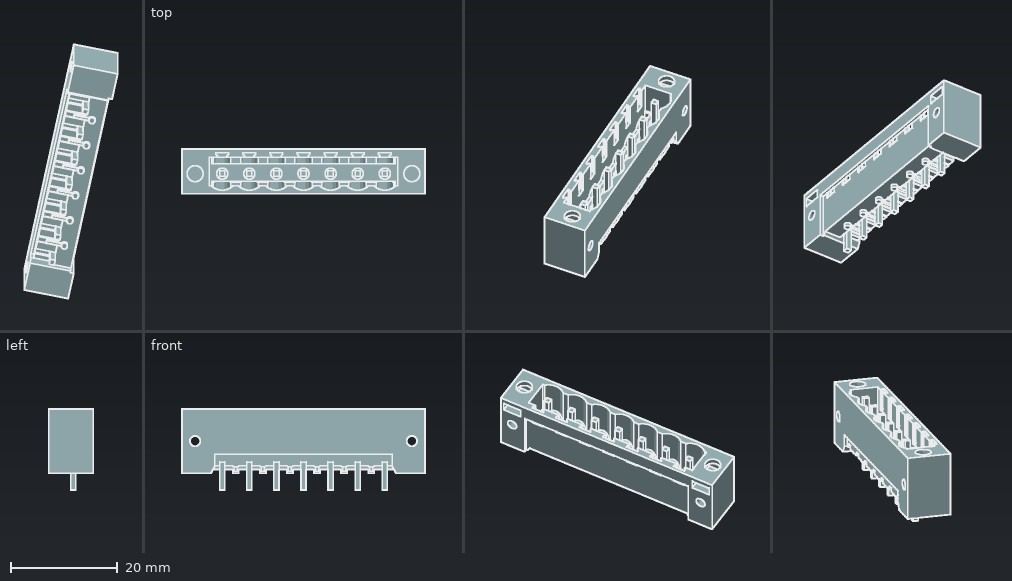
import cadquery as cq

LENGTH = 45.55
DEPTH = 8.45
HEIGHT = 12.07
BACK = DEPTH / 2
FRONT = -BACK

FLANGE_X = 20.3
PIN_COUNT = 7
PITCH = FLANGE_X / 4
PIN_Y = -0.4
PIN_SIZE = 1.0
PIN_TOP = 11.1
PIN_BOTTOM = -3.15
PIN_FRONT = PIN_Y - PIN_SIZE / 2
PIN_BACK = PIN_Y + PIN_SIZE / 2
PIN_XS = [(i - (PIN_COUNT - 1) / 2) * PITCH for i in range(PIN_COUNT)]
GAP_XS = [x + PITCH / 2 for x in PIN_XS[:-1]]

CAVITY_HALF_LENGTH = 17.65
CAVITY_BACK = 2.7
CAVITY_FRONT = -2.7
CAVITY_FLOOR = 5.45
SCALLOP_HALF_WIDTH = 2.0
SCALLOP_DEPTH = 0.8
COLLAR_DIAMETER = 2.1
COLLAR_DEPTH = 0.45

STRIP_FRONT = -1.85
STRIP_BACK = 1.45
CHANNEL_FLOOR = 4.1
CHANNEL_HALF_LENGTH = PIN_XS[-1] + SCALLOP_HALF_WIDTH

RIDGE_HALF_BASE = 1.65
RIDGE_HALF_SHOULDER = 1.3
RIDGE_SHOULDER = 0.55
RIDGE_HEIGHT = 1.25

SHELF_DEPTH = 0.15
SHELF_HEIGHT = 0.25

GROOVE_HALF_NECK = 0.85
GROOVE_HALF_WIDTH = 1.2
GROOVE_NECK_DEPTH = 0.25
GROOVE_DEPTH = 0.8
GROOVE_FLOOR = 8.05
GROOVE_BACK = CAVITY_BACK + GROOVE_DEPTH

REAR_RECESS_TOP = 9.1

SCREW_DIAMETER = 3.0
SCREW_COLLAR = 1.2
POCKET_HALF_WIDTH = 1.8
POCKET_FLOOR = 9.15
CROSS_DIAMETER = 1.9

LEG_X = 16.65
LEG_CHAMFER_X = 0.7
LEG_CHAMFER_Z = 1.3
FRONT_STEP_DEPTH = 0.55
FRONT_STEP_TOP = 3.6
FRONT_UNDERSIDE = 1.35
BACK_UNDERSIDE = 0.7
PIN_SLOT_TOP = 2.1
STEP_FACE = FRONT + FRONT_STEP_DEPTH

FOOT_DIAMETER = 1.2
FOOT_Y = 1.35
RIB_WIDTH = 0.55
RIB_FRONT = -2.05
RIB_BOTTOM = 0.35
LIP_HALF_WIDTH = 0.6
LIP_HALF_BOTTOM = 0.45
LIP_DROP = 0.15


def block(x0, x1, y0, y1, z0, z1):
    """Axis-aligned box between two opposite corners."""
    return cq.Workplane("XY").box(x1 - x0, y1 - y0, z1 - z0, centered=False).translate((x0, y0, z0))


def along_y(outline, y0, y1):
    """Sweep an XZ outline from y0 to y1."""
    return outline.extrude(y0 - y1).translate((0, y0, 0))


def xz():
    """Workplane for outlines given in X and Z."""
    return cq.Workplane("XZ")


def scalloped_area(half_length, floor):
    """Volume above the floor whose front side bulges outwards at every contact."""
    area = block(-half_length, half_length, CAVITY_FRONT, CAVITY_BACK, floor, HEIGHT)
    for x in PIN_XS:
        bulge = (
            cq.Workplane("XY", origin=(x, CAVITY_FRONT, floor))
            .moveTo(-SCALLOP_HALF_WIDTH, 0)
            .threePointArc((0, -SCALLOP_DEPTH), (SCALLOP_HALF_WIDTH, 0))
            .close()
            .extrude(HEIGHT - floor)
        )
        area = area.union(bulge)
    return area


def ridge(x):
    """Convex ridge on the channel floor, running front to back."""
    outline = (
        xz()
        .moveTo(x - RIDGE_HALF_BASE, CHANNEL_FLOOR)
        .lineTo(x - RIDGE_HALF_SHOULDER, CHANNEL_FLOOR + RIDGE_SHOULDER)
        .threePointArc(
            (x, CHANNEL_FLOOR + RIDGE_HEIGHT),
            (x + RIDGE_HALF_SHOULDER, CHANNEL_FLOOR + RIDGE_SHOULDER),
        )
        .lineTo(x + RIDGE_HALF_BASE, CHANNEL_FLOOR)
        .close()
    )
    return along_y(outline, FRONT, BACK)


def cut_cavity(body):
    """Open the cavity, its two channels and the ring recess round each contact."""
    body = body.cut(scalloped_area(CAVITY_HALF_LENGTH, CAVITY_FLOOR))
    strip = block(-LENGTH, LENGTH, STRIP_FRONT, STRIP_BACK, 0, HEIGHT)
    shelf = block(
        -LENGTH, LENGTH, STRIP_FRONT - SHELF_DEPTH, STRIP_FRONT, CHANNEL_FLOOR, CHANNEL_FLOOR + SHELF_HEIGHT
    )
    channels = scalloped_area(CHANNEL_HALF_LENGTH, CHANNEL_FLOOR).cut(strip).cut(shelf)
    for x in PIN_XS:
        channels = channels.cut(ridge(x))
    body = body.cut(channels)
    collars = (
        cq.Workplane("XY", origin=(0, 0, CAVITY_FLOOR - COLLAR_DEPTH))
        .pushPoints([(x, PIN_Y) for x in PIN_XS])
        .circle(COLLAR_DIAMETER / 2)
        .extrude(COLLAR_DEPTH)
    )
    return body.cut(collars)


def cut_coding_grooves(body):
    """Dovetail groove in the back wall behind each contact."""
    neck_end = CAVITY_BACK + GROOVE_NECK_DEPTH
    flare_end = neck_end + GROOVE_HALF_WIDTH - GROOVE_HALF_NECK
    right = [
        (GROOVE_HALF_NECK, CAVITY_BACK),
        (GROOVE_HALF_NECK, neck_end),
        (GROOVE_HALF_WIDTH, flare_end),
        (GROOVE_HALF_WIDTH, GROOVE_BACK),
    ]
    left = [(-x, y) for x, y in reversed(right)]
    groove = cq.Workplane("XY", origin=(0, 0, GROOVE_FLOOR)).polyline(right + left).close()
    groove = groove.extrude(HEIGHT - GROOVE_FLOOR)
    for x in PIN_XS:
        body = body.cut(groove.translate((x, 0, 0)))
    return body


def cut_rear_recess(body):
    """Long recess in the lower back face."""
    return body.cut(block(-CAVITY_HALF_LENGTH, CAVITY_HALF_LENGTH, GROOVE_BACK, BACK, 0, REAR_RECESS_TOP))


def cut_flange_fixings(body):
    """Screw hole, nut pocket open to the back, and cross hole in each flange."""
    for x in (-FLANGE_X, FLANGE_X):
        screw_hole = (
            cq.Workplane("XY", origin=(x, PIN_Y, POCKET_FLOOR))
            .circle(SCREW_DIAMETER / 2)
            .extrude(HEIGHT - POCKET_FLOOR)
        )
        nut_pocket = block(
            x - POCKET_HALF_WIDTH, x + POCKET_HALF_WIDTH,
            PIN_Y - POCKET_HALF_WIDTH, BACK,
            POCKET_FLOOR, HEIGHT - SCREW_COLLAR,
        )
        cross_hole = along_y(xz().center(x, HEIGHT / 2).circle(CROSS_DIAMETER / 2), FRONT, BACK)
        body = body.cut(screw_hole).cut(nut_pocket).cut(cross_hole)
    return body


def cut_underside(body):
    """Raise the underside between the legs, step the front and slot it for the pins."""
    flare_x = LEG_X + LEG_CHAMFER_X
    opening = (
        xz()
        .polyline([
            (-flare_x, 0), (-LEG_X, LEG_CHAMFER_Z), (-LEG_X, FRONT_STEP_TOP),
            (LEG_X, FRONT_STEP_TOP), (LEG_X, LEG_CHAMFER_Z), (flare_x, 0),
        ])
        .close()
    )
    opening = along_y(opening, FRONT, BACK)
    solid_core = block(-LENGTH, LENGTH, STEP_FACE, PIN_BACK, FRONT_UNDERSIDE, HEIGHT)
    solid_back = block(-LENGTH, LENGTH, PIN_BACK, BACK, BACK_UNDERSIDE, HEIGHT)
    body = body.cut(opening.cut(solid_core).cut(solid_back))
    half = PIN_SIZE / 2
    for x in PIN_XS:
        body = body.cut(block(x - half, x + half, STEP_FACE, PIN_FRONT, FRONT_UNDERSIDE, PIN_SLOT_TOP))
    return body


def add_feet(body):
    """Round foot, narrow rib and front lip midway between neighbouring contacts."""
    for x in GAP_XS:
        foot = (
            cq.Workplane("XY", origin=(x, FOOT_Y, 0)).circle(FOOT_DIAMETER / 2).extrude(BACK_UNDERSIDE)
        )
        rib = block(x - RIB_WIDTH / 2, x + RIB_WIDTH / 2, RIB_FRONT, FOOT_Y, RIB_BOTTOM, FRONT_UNDERSIDE)
        lip = (
            xz()
            .polyline([
                (x - LIP_HALF_WIDTH, FRONT_UNDERSIDE),
                (x - LIP_HALF_BOTTOM, FRONT_UNDERSIDE - LIP_DROP),
                (x + LIP_HALF_BOTTOM, FRONT_UNDERSIDE - LIP_DROP),
                (x + LIP_HALF_WIDTH, FRONT_UNDERSIDE),
            ])
            .close()
        )
        body = body.union(foot).union(rib).union(along_y(lip, STEP_FACE, PIN_BACK))
    return body


def make_pin(x):
    """Straight square contact pin."""
    half = PIN_SIZE / 2
    return block(x - half, x + half, PIN_FRONT, PIN_BACK, PIN_BOTTOM, PIN_TOP)


def make_housing(pins):
    """Housing with a close-fitting passage for every pin."""
    body = block(-LENGTH / 2, LENGTH / 2, FRONT, BACK, 0, HEIGHT)
    body = cut_cavity(body)
    body = cut_coding_grooves(body)
    body = cut_rear_recess(body)
    body = cut_flange_fixings(body)
    body = cut_underside(body)
    body = add_feet(body)
    for pin in pins:
        body = body.cut(pin)
    return body


pins = [make_pin(x) for x in PIN_XS]
housing = make_housing(pins)
result = cq.Compound.makeCompound([housing.val(), *[pin.val() for pin in pins]])